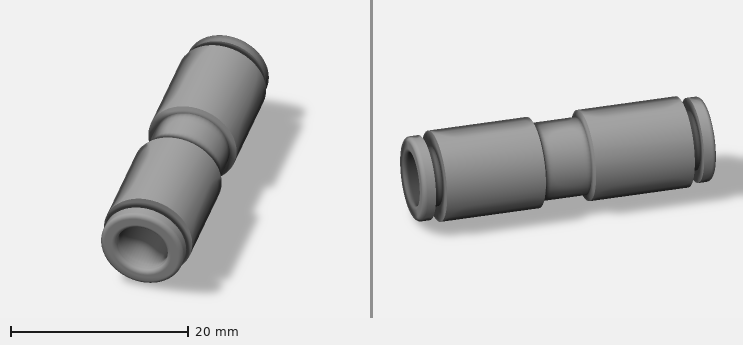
import cadquery as cq


total_length = 34.5
collar_width = 1.5
neck_width = 1.2
barrel_length = 11.6
chamfer_length = 0.3
bore_depth = 14.0

barrel_diameter = 10.4
waist_diameter = 8.9
collar_diameter = 9.7
neck_diameter = 6.8
tube_bore_diameter = 6.0
passage_diameter = 3.75

rim_radius = 0.5

end_y = total_length / 2
collar_inner_y = end_y - collar_width
barrel_outer_y = collar_inner_y - neck_width
barrel_inner_y = barrel_outer_y - barrel_length
waist_end_y = barrel_inner_y - chamfer_length


def cylinder(diameter, y_start, y_end):
    """Solid cylinder about the Y axis between two stations."""
    base = cq.Workplane("XZ", origin=(0, y_start, 0))
    return base.circle(diameter / 2).extrude(y_start - y_end)


def make_barrel():
    """Barrel of the +Y half, tapering to the waist at its inner end."""
    profile = (
        cq.Workplane("XY")
        .moveTo(0, waist_end_y)
        .lineTo(waist_diameter / 2, waist_end_y)
        .lineTo(barrel_diameter / 2, barrel_inner_y)
        .lineTo(barrel_diameter / 2, barrel_outer_y)
        .lineTo(0, barrel_outer_y)
        .close()
    )
    return profile.revolve(360, (0, 0, 0), (0, 1, 0))


def make_collar():
    """Release collar of the +Y end, bored through, with its outer face edges rounded."""
    collar = cylinder(collar_diameter, collar_inner_y, end_y)
    collar = collar.cut(cylinder(tube_bore_diameter, collar_inner_y, end_y))
    return collar.faces(">Y").edges().fillet(rim_radius)


def make_half():
    """The +Y half: barrel, neck, collar and tube bore."""
    neck = cylinder(neck_diameter, barrel_outer_y, collar_inner_y)
    core = make_barrel().union(neck)
    core = core.cut(cylinder(tube_bore_diameter, end_y - bore_depth, collar_inner_y))
    return core.union(make_collar())


half = make_half()
waist = cylinder(waist_diameter, -waist_end_y, waist_end_y)
body = waist.union(half).union(half.mirror("XZ"))
result = body.cut(cylinder(passage_diameter, -end_y, end_y))